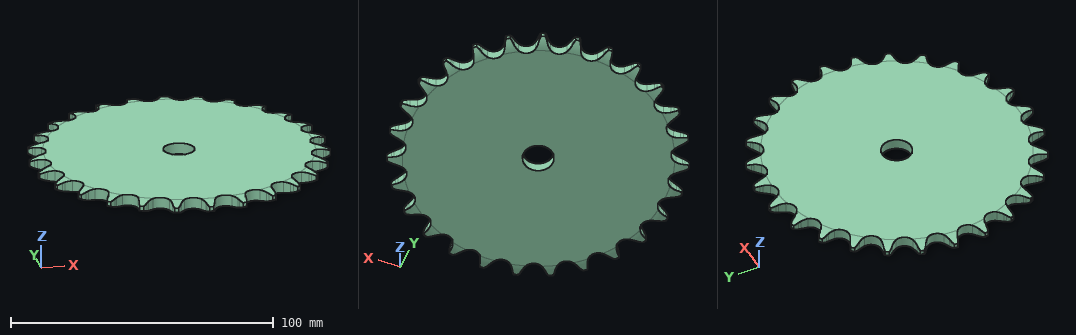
import cadquery as cq
import math

tooth_count = 27
pitch_diameter = 109.4
tip_diameter = 115.4
thickness = 4.5
bore_diameter = 12.0

seat_radius = 4.0
working_radius = 10.4
flank_length = 1.06
topping_radius = 6.5
seat_end_angle = math.radians(35 + 60 / tooth_count)
working_sweep = math.radians(18 - 56 / tooth_count)
flank_angle = seat_end_angle - working_sweep

face_diameter = 103.8
face_curve_radius = 13.5

pitch_radius = pitch_diameter / 2
tip_radius = tip_diameter / 2
face_radius = face_diameter / 2
tooth_angle = 360 / tooth_count


def on_arc(center, radius, angle):
    """Point on an arc, with the angle measured from +X."""
    return (center[0] + radius * math.cos(angle), center[1] + radius * math.sin(angle))


def mirrored(point):
    return (-point[0], point[1])


def tooth_gap():
    """Cutter for the gap between two teeth, centred on +Y."""
    seat_center = (0, pitch_radius)
    seat_bottom = (0, pitch_radius - seat_radius)
    seat_end = on_arc(seat_center, seat_radius, -seat_end_angle)

    working_center = on_arc(seat_end, working_radius, math.pi - seat_end_angle)
    working_middle = on_arc(working_center, working_radius, -seat_end_angle + working_sweep / 2)
    working_end = on_arc(working_center, working_radius, -flank_angle)

    flank_end = on_arc(working_end, flank_length, math.pi / 2 - flank_angle)

    topping_sweep = math.radians(25)
    topping_center = on_arc(flank_end, topping_radius, -flank_angle)
    topping_start_angle = math.pi - flank_angle
    topping_middle = on_arc(topping_center, topping_radius, topping_start_angle - topping_sweep / 2)
    topping_end = on_arc(topping_center, topping_radius, topping_start_angle - topping_sweep)

    return (
        cq.Workplane("XY")
        .moveTo(*mirrored(seat_end))
        .threePointArc(seat_bottom, seat_end)
        .threePointArc(working_middle, working_end)
        .lineTo(*flank_end)
        .threePointArc(topping_middle, topping_end)
        .lineTo(*mirrored(topping_end))
        .threePointArc(mirrored(topping_middle), mirrored(flank_end))
        .lineTo(*mirrored(working_end))
        .threePointArc(mirrored(working_middle), mirrored(seat_end))
        .close()
        .extrude(thickness / 2, both=True)
    )


def blank():
    """Disc with curved rims and the bore, turned from its half section about the Z axis."""
    half = thickness / 2
    bore_radius = bore_diameter / 2

    def drop_at(radius):
        """How far the curved rim lies below the flat face at this radius."""
        run = radius - face_radius
        return face_curve_radius - math.sqrt(face_curve_radius**2 - run**2)

    middle_radius = (face_radius + tip_radius) / 2
    middle_height = half - drop_at(middle_radius)
    tip_height = half - drop_at(tip_radius)
    return (
        cq.Workplane("XZ")
        .moveTo(bore_radius, -half)
        .lineTo(face_radius, -half)
        .threePointArc((middle_radius, -middle_height), (tip_radius, -tip_height))
        .lineTo(tip_radius, tip_height)
        .threePointArc((middle_radius, middle_height), (face_radius, half))
        .lineTo(bore_radius, half)
        .close()
        .revolve(360, (0, 0, 0), (0, 1, 0))
    )


result = blank()
gap = tooth_gap()
for index in range(tooth_count):
    result = result.cut(gap.rotate((0, 0, 0), (0, 0, 1), index * tooth_angle))